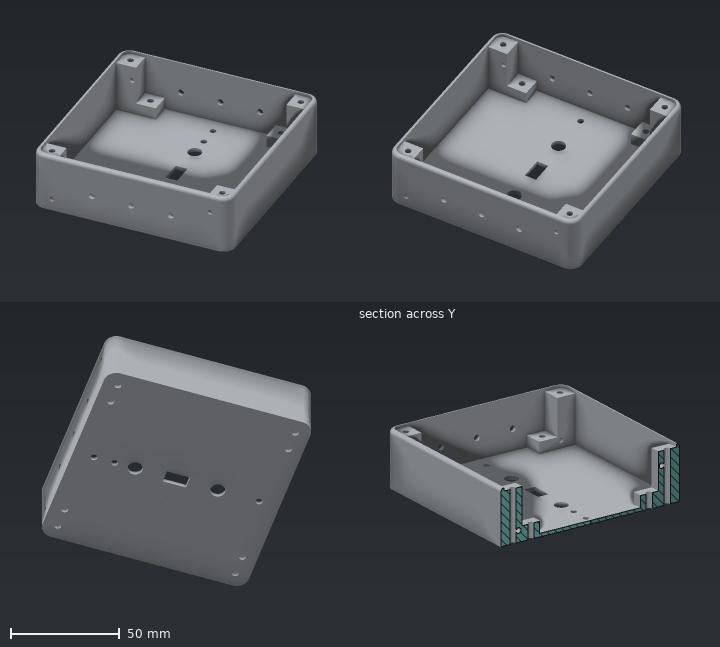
import cadquery as cq


side = 100.0
height = 29.0
wall = 2.0
floor = 2.0
corner_radius = 6.0
rim_radius = wall

half_side = side / 2
inner_half = half_side - wall
inner_corner_radius = corner_radius - wall

post_width = 10.0
post_drop = 1.6
post_top = height - post_drop
step_top = 8.0
post_offset = inner_half - post_width / 2
step_offset = post_offset - post_width

screw_diameter = 3.2
pilot_diameter = 2.5
large_diameter = 7.0
hole_spacing = 20.0

floor_screw_y = (-40.0, 30.0, 40.0)
floor_large_y = (-hole_spacing, hole_spacing)

window_width = 6.0
window_length = 11.2

wall_hole_z = 13.0
wall_hole_x = (-hole_spacing, 0.0, hole_spacing)
pilot_x = 40.0
low_pilot_z = 6.0
high_pilot_z = 20.0
pilot_depth = wall + post_width

SIGNS = (-1, 1)


def block(x_size, y_size, z_size):
    """A box centred in X and Y that stands on Z = 0."""
    return cq.Workplane("XY").box(x_size, y_size, z_size, centered=(True, True, False))


def vertical_holes(points, diameter):
    """Drills that pass upward through the full height."""
    return cq.Workplane("XY").pushPoints(points).circle(diameter / 2).extrude(height)


def outer_shape():
    """Solid outline with rounded corners and a rounded upper edge."""
    body = block(side, side, height).edges("|Z").fillet(corner_radius)
    return body.faces(">Z").edges().fillet(rim_radius)


def cavity():
    """Space inside the walls, open at the top."""
    inner_side = 2 * inner_half
    space = block(inner_side, inner_side, height).edges("|Z").fillet(inner_corner_radius)
    return space.translate((0, 0, floor))


def corner_supports():
    """Four tall posts and the four low steps beside them, kept inside the outline."""
    supports = cq.Workplane("XY")
    for x_sign in SIGNS:
        for y_sign in SIGNS:
            y = y_sign * post_offset
            post = block(post_width, post_width, post_top).translate((x_sign * post_offset, y, 0))
            step = block(post_width, post_width, step_top).translate((x_sign * step_offset, y, 0))
            supports = supports.add(post).add(step)
    return supports.combine().intersect(outer_shape())


def support_holes():
    """Vertical screw holes through every post and step."""
    points = []
    for x in (post_offset, step_offset):
        for x_sign in SIGNS:
            for y_sign in SIGNS:
                points.append((x_sign * x, y_sign * post_offset))
    return vertical_holes(points, screw_diameter)


def floor_openings():
    """Row of round holes on the centre line and the rectangular window."""
    screws = vertical_holes([(0, y) for y in floor_screw_y], screw_diameter)
    large = vertical_holes([(0, y) for y in floor_large_y], large_diameter)
    window = block(window_width, window_length, height)
    return screws.union(large).union(window)


def wall_holes():
    """Screw holes through both the front and the back wall."""
    points = [(x, wall_hole_z) for x in wall_hole_x]
    return cq.Workplane("XZ").pushPoints(points).circle(screw_diameter / 2).extrude(half_side, both=True)


def pilot_holes():
    """Holes along Y through the wall and post, low and high, repeated by a half turn about Z."""
    points = [(-pilot_x, low_pilot_z), (pilot_x, high_pilot_z)]
    front = (
        cq.Workplane("XZ", origin=(0, -half_side, 0))
        .pushPoints(points)
        .circle(pilot_diameter / 2)
        .extrude(-pilot_depth)
    )
    back = front.rotate((0, 0, 0), (0, 0, 1), 180)
    return front.union(back)


def enclosure():
    """Complete form that the quarter shells make together."""
    shell = outer_shape().cut(cavity()).union(corner_supports())
    for openings in (support_holes(), floor_openings(), wall_holes(), pilot_holes()):
        shell = shell.cut(openings)
    return shell


def quarter_shell(whole, x_sign, y_sign):
    """The part of the enclosure that lies in one quadrant."""
    quadrant = block(half_side, half_side, height)
    quadrant = quadrant.translate((x_sign * half_side / 2, y_sign * half_side / 2, 0))
    return whole.intersect(quadrant)


whole_enclosure = enclosure()
quarter_shells = []
for x_sign in SIGNS:
    for y_sign in SIGNS:
        quarter_shells.extend(quarter_shell(whole_enclosure, x_sign, y_sign).solids().vals())

result = cq.Compound.makeCompound(quarter_shells)